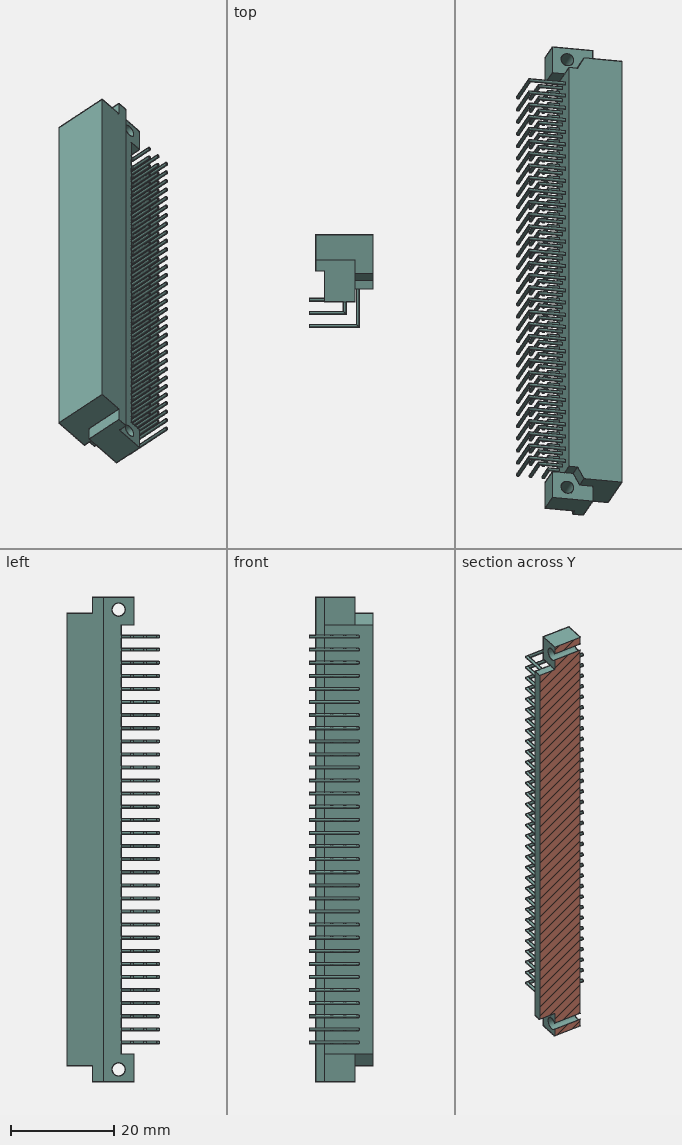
import cadquery as cq

TOTAL_X = 12.35
TOTAL_Y = 18.02
TOTAL_Z = 94.0

HOUSING_LEFT = 1.2
HOUSING_DEPTH = 10.6
SHROUD_DEPTH = 4.95
SHROUD_INSET = 3.1
STEP_X = 2.9
STEP_DEPTH = 7.1

EAR_RIGHT = 8.85
EAR_DEPTH = 13.05
EAR_HEIGHT = 5.4
HOLE_DIAMETER = 2.5
HOLE_DEPTH = 10.05
HOLE_INSET = 2.4

SLOPE_START_DEPTH = 7.6
SLOPE_END_DEPTH = 8.9

PIN_DIAMETER = 0.6
PIN_PITCH = 2.54
PINS_PER_ROW = 32
ROW_COUNT = 3
OUTER_PIN_DEPTH = TOTAL_Y - PIN_DIAMETER / 2
OUTER_PIN_BEND_X = 9.4
PIN_EMBED = 1.0

HALF_Z = TOTAL_Z / 2
SHROUD_HALF_Z = HALF_Z - SHROUD_INSET
EAR_BASE_Z = HALF_Z - EAR_HEIGHT


def block(x_range, depth_range, z_range):
    """Box between two X positions, two depths and two Z positions."""
    x0, x1 = x_range
    d0, d1 = depth_range
    z0, z1 = z_range
    return cq.Workplane("XY").box(x1 - x0, d1 - d0, z1 - z0, centered=False).translate((x0, -d1, z0))


def make_shroud():
    """Core of the housing, whose ends slope down to the pin side."""
    outline = [
        (0, SHROUD_HALF_Z),
        (-SLOPE_START_DEPTH, SHROUD_HALF_Z),
        (-SLOPE_END_DEPTH, EAR_BASE_Z),
        (-HOUSING_DEPTH, EAR_BASE_Z),
        (-HOUSING_DEPTH, -EAR_BASE_Z),
        (-SLOPE_END_DEPTH, -EAR_BASE_Z),
        (-SLOPE_START_DEPTH, -SHROUD_HALF_Z),
        (0, -SHROUD_HALF_Z),
    ]
    core = cq.Workplane("YZ").polyline(outline).close().extrude(TOTAL_X - HOUSING_LEFT)
    return core.translate((HOUSING_LEFT, 0, 0))


def make_ear(z_range):
    """Mounting end block that reaches past the shroud towards the pins."""
    return block((HOUSING_LEFT, EAR_RIGHT), (SHROUD_DEPTH, EAR_DEPTH), z_range)


def make_mounting_hole(z):
    """Cylinder along X that cuts through a mounting end."""
    hole = cq.Workplane("YZ").center(-HOLE_DEPTH, z).circle(HOLE_DIAMETER / 2)
    return hole.extrude(TOTAL_X)


def make_housing():
    """Shroud with two mounting ends, less the left-hand step and the holes."""
    housing = make_shroud()
    housing = housing.union(make_ear((EAR_BASE_Z, HALF_Z)))
    housing = housing.union(make_ear((-HALF_Z, -EAR_BASE_Z)))
    housing = housing.cut(block((HOUSING_LEFT, STEP_X), (STEP_DEPTH, EAR_DEPTH), (-HALF_Z, HALF_Z)))
    for side in (-1, 1):
        housing = housing.cut(make_mounting_hole(side * (HALF_Z - HOLE_INSET)))
    return housing


def make_pin(row):
    """Right-angle pin at Z = 0 with a mitred bend; row 0 is the longest."""
    bend_x = OUTER_PIN_BEND_X - row * PIN_PITCH
    bend_y = row * PIN_PITCH - OUTER_PIN_DEPTH
    root_y = PIN_EMBED - HOUSING_DEPTH
    path = cq.Workplane("XY").moveTo(0, bend_y).lineTo(bend_x, bend_y).lineTo(bend_x, root_y)
    profile = cq.Workplane("YZ").center(bend_y, 0).circle(PIN_DIAMETER / 2)
    return profile.sweep(path, transition="right").val()


def make_pins():
    """Full grid of pins, evenly spaced about the middle of the housing."""
    first_z = -(PINS_PER_ROW - 1) * PIN_PITCH / 2
    pins = []
    for row in range(ROW_COUNT):
        pin = make_pin(row)
        for column in range(PINS_PER_ROW):
            pins.append(pin.translate(cq.Vector(0, 0, first_z + column * PIN_PITCH)))
    return pins


result = cq.Workplane(make_housing().val().fuse(*make_pins()))